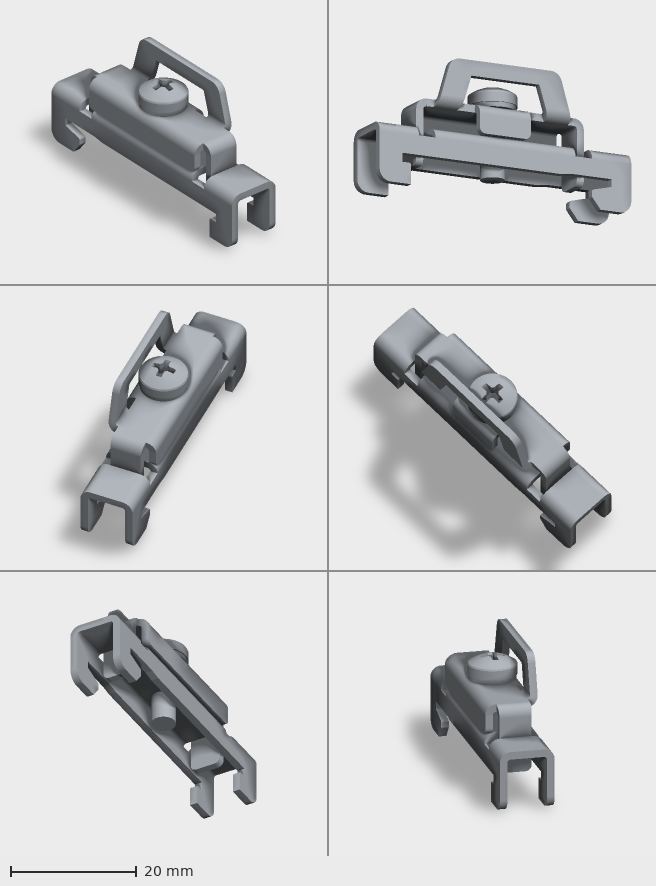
import cadquery as cq
import math

SHEET = 1.25
INNER_BEND = 0.5
OUTER_BEND = INNER_BEND + SHEET
HALF_DEPTH = 4.5
BEND_START_Y = HALF_DEPTH - OUTER_BEND
CORNER_RADIUS = 1.0

HALF_LENGTH = 22.5
FOOT_TOP = 10.0
FOOT_CORNER = 2.0
SLOT_INNER_X = 12.5
SLOT_OUTER_X = 15.5
LEFT_RAIL_Z = 5.25
RIGHT_RAIL_Z = 5.0
RAMP_START_X = -11.75
RAMP_END_X = -9.8
LEFT_THROAT_X = -18.95
LEFT_LIP_ROOT_Z = 4.0
LEFT_TIP_X = -15.5
LEFT_TIP_TOP_Z = 3.1
LEFT_TIP_LOW_Z = 1.95
LEFT_TOE_X = -17.0
LEFT_TIP_ROUND = 0.4
RIGHT_THROAT_X = 18.45
RIGHT_TIP_X = 16.9
RIGHT_TIP_Z = 3.5
RIGHT_TIP_ROUND = 0.3

CLAMP_TOP = 15.0
LUG_HALF_X = 15.0
LUG_TIP_Z = 4.0
CORNER_RELIEF = 0.15
BACK_TAB_HALF_X = 4.55
HANDLE_TOP = 21.8
HANDLE_TOP_HALF_X = 9.65
HANDLE_FOOT_HALF_X = 11.95
WINDOW_TOP = 19.2
WINDOW_TOP_HALF_X = 6.08
WINDOW_FOOT_HALF_X = 7.75
HANDLE_CORNER = 2.0

WASHER_RADIUS = 3.82
WASHER_THICKNESS = 0.8
SHANK_RADIUS = 2.0
SHANK_TIP_Z = 3.8
HEAD_RADIUS = 4.0
HEAD_APEX_Z = 18.9
DOME_RISE = 1.25
DOME_RIM_RADIUS = 3.85
HEAD_EDGE_HEIGHT = 0.25
RECESS_HALF_SPAN = 2.0
RECESS_ARM_WIDTH = 1.0
RECESS_CORE_RADIUS = 0.95
RECESS_DEPTH = 2.25
RECESS_CONE_DEPTH = 0.55

CLAMP_BOTTOM = CLAMP_TOP - SHEET
BEND_START_X = LUG_HALF_X - OUTER_BEND
HEAD_SEAT_Z = CLAMP_TOP + WASHER_THICKNESS
DOME_RIM_Z = HEAD_APEX_Z - DOME_RISE
DOME_RADIUS = (DOME_RIM_RADIUS**2 + DOME_RISE**2) / (2 * DOME_RISE)


def box_between(x_range, y_range, z_range):
    """Box spanning the given (low, high) ranges."""
    (x0, x1), (y0, y1), (z0, z1) = x_range, y_range, z_range
    return cq.Workplane("XY").box(x1 - x0, y1 - y0, z1 - z0, centered=False).translate((x0, y0, z0))


def bent_leg(plane, half_width, side, bend_start, plate_face, turn, tip):
    """Quarter bend and straight leg, extruded to both sides of the plane.

    side is the horizontal direction of the leg; turn is -1 for a leg bent down, +1 for one bent up.
    plate_face is the height of the plate face on the outside of the bend.
    """
    mid = math.sqrt(0.5)
    start = side * bend_start
    centre = plate_face + turn * OUTER_BEND

    def bend_point(radius, across, along):
        return (start + side * radius * across, centre - turn * radius * along)

    return (
        cq.Workplane(plane)
        .moveTo(*bend_point(OUTER_BEND, 0, 1))
        .threePointArc(bend_point(OUTER_BEND, mid, mid), bend_point(OUTER_BEND, 1, 0))
        .lineTo(start + side * OUTER_BEND, tip)
        .lineTo(start + side * INNER_BEND, tip)
        .lineTo(*bend_point(INNER_BEND, 1, 0))
        .threePointArc(bend_point(INNER_BEND, mid, mid), bend_point(INNER_BEND, 0, 1))
        .close()
        .extrude(half_width, both=True)
    )


def screw_hole():
    """Cylinder that clears the screw shank through every body it passes."""
    return cq.Workplane("XY").circle(SHANK_RADIUS).extrude(HANDLE_TOP)


def foot_side_outline():
    """Side shape of the foot, extruded through its whole depth."""
    outline = [
        (-HALF_LENGTH, 0),
        (LEFT_TOE_X, 0),
        (LEFT_TIP_X, LEFT_TIP_LOW_Z),
        (LEFT_TIP_X, LEFT_TIP_TOP_Z),
        (LEFT_THROAT_X, LEFT_LIP_ROOT_Z),
        (LEFT_THROAT_X, LEFT_RAIL_Z),
        (RAMP_START_X, LEFT_RAIL_Z),
        (RAMP_END_X, RIGHT_RAIL_Z),
        (RIGHT_THROAT_X, RIGHT_RAIL_Z),
        (RIGHT_THROAT_X, RIGHT_TIP_Z),
        (RIGHT_TIP_X, RIGHT_TIP_Z),
        (RIGHT_TIP_X, 0),
        (HALF_LENGTH, 0),
        (HALF_LENGTH, FOOT_TOP),
        (-HALF_LENGTH, FOOT_TOP),
    ]
    body = cq.Workplane("XZ").polyline(outline).close().extrude(HALF_DEPTH, both=True)

    def edge_at(x, z):
        return body.edges(cq.selectors.NearestToPointSelector((x, 0, z)))

    for x, z, radius in [
        (-HALF_LENGTH, 0, FOOT_CORNER),
        (HALF_LENGTH, 0, FOOT_CORNER),
        (LEFT_TIP_X, LEFT_TIP_LOW_Z, LEFT_TIP_ROUND),
        (LEFT_TIP_X, LEFT_TIP_TOP_Z, LEFT_TIP_ROUND),
        (RIGHT_TIP_X, RIGHT_TIP_Z, RIGHT_TIP_ROUND),
    ]:
        body = edge_at(x, z).fillet(radius)
    return body


def make_foot():
    web = box_between(
        (-HALF_LENGTH, HALF_LENGTH), (-BEND_START_Y, BEND_START_Y), (FOOT_TOP - SHEET, FOOT_TOP)
    )
    channel = web
    for side in (-1, 1):
        channel = channel.union(bent_leg("YZ", HALF_LENGTH, side, BEND_START_Y, FOOT_TOP, -1, 0))
    foot = channel.intersect(foot_side_outline())
    for low, high in [(-SLOT_OUTER_X, -SLOT_INNER_X), (SLOT_INNER_X, SLOT_OUTER_X)]:
        lug_slot = box_between((low, high), (-HALF_DEPTH, HALF_DEPTH), (FOOT_TOP - OUTER_BEND, FOOT_TOP))
        foot = foot.cut(lug_slot)
    return foot.cut(screw_hole())


def trapezoid_block(foot_half_x, top_half_x, top_z):
    """Symmetric trapezoid standing on the underside of the plate, through the whole depth."""
    return (
        cq.Workplane("XZ")
        .polyline([
            (-foot_half_x, CLAMP_BOTTOM),
            (-top_half_x, top_z),
            (top_half_x, top_z),
            (foot_half_x, CLAMP_BOTTOM),
        ])
        .close()
        .extrude(HALF_DEPTH, both=True)
    )


def make_handle():
    """Upright on the back edge: a trapezoidal frame with its feet bent out of the plate."""
    frame = trapezoid_block(HANDLE_FOOT_HALF_X, HANDLE_TOP_HALF_X, HANDLE_TOP)
    frame = frame.edges("|Y and >Z").fillet(HANDLE_CORNER)
    window = trapezoid_block(WINDOW_FOOT_HALF_X, WINDOW_TOP_HALF_X, WINDOW_TOP)
    sheet = bent_leg("YZ", HANDLE_FOOT_HALF_X, 1, BEND_START_Y, CLAMP_BOTTOM, 1, HANDLE_TOP)
    return sheet.intersect(frame.cut(window))


def flared_outline(plane, top_half_width, tip, half_reach):
    """Leg outline that widens along the bend to the full plate width, extruded both ways."""
    leg_half_width = top_half_width - CORNER_RELIEF
    bend_end = CLAMP_TOP - OUTER_BEND
    return (
        cq.Workplane(plane)
        .polyline([
            (-leg_half_width, tip),
            (-leg_half_width, bend_end),
            (-top_half_width, CLAMP_TOP),
            (top_half_width, CLAMP_TOP),
            (leg_half_width, bend_end),
            (leg_half_width, tip),
        ])
        .close()
        .extrude(half_reach, both=True)
    )


def make_clamp():
    clamp = box_between(
        (-BEND_START_X, BEND_START_X), (-BEND_START_Y, BEND_START_Y), (CLAMP_BOTTOM, CLAMP_TOP)
    )
    for side in (-1, 1):
        lug = bent_leg("XZ", BEND_START_Y, side, BEND_START_X, CLAMP_TOP, -1, LUG_TIP_Z)
        lug = lug.intersect(flared_outline("YZ", BEND_START_Y, LUG_TIP_Z, LUG_HALF_X))
        clamp = clamp.union(lug.edges("|X and <Z").fillet(CORNER_RADIUS))

    front_flange = bent_leg("YZ", BEND_START_X, -1, BEND_START_Y, CLAMP_TOP, -1, FOOT_TOP)
    front_flange = front_flange.intersect(flared_outline("XZ", BEND_START_X, FOOT_TOP, HALF_DEPTH))
    back_tab = bent_leg("YZ", BACK_TAB_HALF_X, 1, BEND_START_Y, CLAMP_TOP, -1, FOOT_TOP)
    for flange in (front_flange, back_tab):
        clamp = clamp.union(flange.edges("|Y and <Z").fillet(CORNER_RADIUS))
    return clamp.union(make_handle()).cut(screw_hole())


def make_washer():
    return (
        cq.Workplane("XY", origin=(0, 0, CLAMP_TOP))
        .circle(WASHER_RADIUS)
        .circle(SHANK_RADIUS)
        .extrude(WASHER_THICKNESS)
    )


def dome_height(radius):
    """Z of the spherical screw dome at this distance from the axis."""
    return HEAD_APEX_Z - DOME_RADIUS + math.sqrt(DOME_RADIUS**2 - radius**2)


def cross_recess():
    """Cruciform driver recess: two tapered arms and a round core with a conical floor."""
    floor_z = HEAD_APEX_Z - RECESS_DEPTH
    arm_rim_z = dome_height(RECESS_HALF_SPAN)
    arm = (
        cq.Workplane("XZ")
        .polyline([
            (-RECESS_CORE_RADIUS, floor_z),
            (RECESS_CORE_RADIUS, floor_z),
            (RECESS_HALF_SPAN, arm_rim_z),
            (RECESS_HALF_SPAN, HEAD_APEX_Z),
            (-RECESS_HALF_SPAN, HEAD_APEX_Z),
            (-RECESS_HALF_SPAN, arm_rim_z),
        ])
        .close()
        .extrude(RECESS_ARM_WIDTH / 2, both=True)
    )
    core = (
        cq.Workplane("XZ")
        .polyline([
            (0, floor_z - RECESS_CONE_DEPTH),
            (RECESS_CORE_RADIUS, floor_z),
            (RECESS_CORE_RADIUS, HEAD_APEX_Z),
            (0, HEAD_APEX_Z),
        ])
        .close()
        .revolve()
    )
    return core.union(arm).union(arm.rotate((0, 0, 0), (0, 0, 1), 90))


def make_screw():
    dome_middle_x = DOME_RIM_RADIUS / 2
    head = (
        cq.Workplane("XZ")
        .moveTo(0, HEAD_SEAT_Z)
        .lineTo(HEAD_RADIUS, HEAD_SEAT_Z)
        .lineTo(HEAD_RADIUS, DOME_RIM_Z - HEAD_EDGE_HEIGHT)
        .lineTo(DOME_RIM_RADIUS, DOME_RIM_Z)
        .threePointArc((dome_middle_x, dome_height(dome_middle_x)), (0, HEAD_APEX_Z))
        .close()
        .revolve()
    )
    shank = (
        cq.Workplane("XY", origin=(0, 0, SHANK_TIP_Z))
        .circle(SHANK_RADIUS)
        .extrude(HEAD_SEAT_Z - SHANK_TIP_Z)
    )
    return head.cut(cross_recess()).union(shank)


foot = make_foot()
clamp = make_clamp()
washer = make_washer()
screw = make_screw()

result = cq.Compound.makeCompound([foot.val(), clamp.val(), washer.val(), screw.val()])